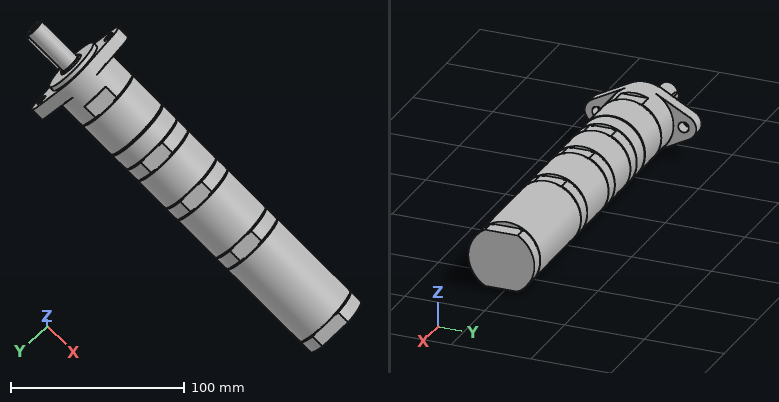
import cadquery as cq
import math

total_length = 249.8

shaft_diameter = 12.0
shaft_tip_chamfer = 0.75
center_hole_diameter = 3.24
center_hole_depth = 10.0
countersink_diameter = 5.3
countersink_angle = 60.0
drill_point_angle = 118.0

key_start = 2.6
key_length = 25.5
key_width = 4.0
key_top = 7.5

collar_start = 30.3
collar_tip_diameter = 14.95
collar_diameter = 16.0
pilot_start = 31.3
pilot_diameter = 36.0

flange_start = 34.3
flange_thickness = 8.2
flange_end = flange_start + flange_thickness
flange_length = 70.0
flange_end_radius = 8.0
mounting_hole_diameter = 6.5
mounting_hole_offset = flange_length / 2 - flange_end_radius

body_diameter = 41.5
body_radius = body_diameter / 2

ring_groove_start = 84.7
ring_groove_width = 1.1
ring_groove_diameter = 36.0

joint_flat_length = 10.0
joint_flat_height = 37.8
joint_flat_starts = [51.0, 97.0, 129.6, 170.7]
rear_flat_start = 240.8
rear_flat_height = 36.0

relief_width = 0.6
relief_diameter = 39.5


def cylinder(start, end, diameter):
    """Cylinder on the X axis between two positions."""
    return cq.Workplane("YZ", origin=(start, 0, 0)).circle(diameter / 2).extrude(end - start)


def revolve_profile(profile):
    """Full turn of a closed (position, radius) profile about the X axis."""
    return cq.Workplane("XY").polyline(profile).close().revolve(360, (0, 0, 0), (1, 0, 0))


def make_turned_body():
    """Shaft, collar, pilot and body as one revolved profile."""
    profile = [
        (0, 0),
        (0, shaft_diameter / 2 - shaft_tip_chamfer),
        (shaft_tip_chamfer, shaft_diameter / 2),
        (collar_start, shaft_diameter / 2),
        (collar_start, collar_tip_diameter / 2),
        (pilot_start, collar_diameter / 2),
        (pilot_start, pilot_diameter / 2),
        (flange_end, pilot_diameter / 2),
        (flange_end, body_radius),
        (total_length, body_radius),
        (total_length, 0),
    ]
    return revolve_profile(profile)


def make_flange():
    """Oval flange: the body circle joined to two end circles by tangent lines."""
    tangent_sine = (body_radius - flange_end_radius) / mounting_hole_offset
    tangent_cosine = math.sqrt(1 - tangent_sine**2)
    inner_y = body_radius * tangent_sine
    inner_z = body_radius * tangent_cosine
    outer_y = mounting_hole_offset + flange_end_radius * tangent_sine
    outer_z = flange_end_radius * tangent_cosine
    outline = (
        cq.Workplane("YZ", origin=(flange_start, 0, 0))
        .moveTo(-inner_y, inner_z)
        .threePointArc((0, body_radius), (inner_y, inner_z))
        .lineTo(outer_y, outer_z)
        .threePointArc((flange_length / 2, 0), (outer_y, -outer_z))
        .lineTo(inner_y, -inner_z)
        .threePointArc((0, -body_radius), (-inner_y, -inner_z))
        .lineTo(-outer_y, -outer_z)
        .threePointArc((-flange_length / 2, 0), (-outer_y, outer_z))
        .close()
    )
    return outline.extrude(flange_thickness)


def make_key():
    """Round-ended key standing out of the shaft toward +Y."""
    return (
        cq.Workplane("XZ", origin=(key_start + key_length / 2, 0, 0))
        .slot2D(key_length, key_width)
        .extrude(-key_top)
    )


def cut_mounting_holes(part):
    """Two through holes in the flange, one on each side of the axis."""
    for y in (-mounting_hole_offset, mounting_hole_offset):
        hole = cylinder(flange_start, flange_end, mounting_hole_diameter)
        part = part.cut(hole.translate((0, y, 0)))
    return part


def cut_center_hole(part):
    """Countersunk blind hole in the shaft tip, ending in a conical drill point."""
    hole_radius = center_hole_diameter / 2
    countersink_radius = countersink_diameter / 2
    countersink_depth = (countersink_radius - hole_radius) / math.tan(math.radians(countersink_angle / 2))
    point_depth = hole_radius / math.tan(math.radians(drill_point_angle / 2))
    profile = [
        (0, 0),
        (0, countersink_radius),
        (countersink_depth, hole_radius),
        (center_hole_depth, hole_radius),
        (center_hole_depth + point_depth, 0),
    ]
    return part.cut(revolve_profile(profile))


def cut_ring(part, start, width, diameter):
    """Groove around the body down to the given diameter."""
    end = start + width
    ring = cylinder(start, end, body_diameter).cut(cylinder(start, end, diameter))
    return part.cut(ring)


def cut_flats(part, start, end, height):
    """Pair of flats on +Z and -Z over one stretch of the body."""
    length = end - start
    cutter_height = body_diameter - height
    for side in (1, -1):
        cutter = cq.Workplane("XY").box(length, body_diameter, cutter_height)
        middle_z = side * (height + cutter_height) / 2
        part = part.cut(cutter.translate((start + length / 2, 0, middle_z)))
    return part


result = make_turned_body().union(make_flange()).union(make_key())
result = cut_mounting_holes(result)
result = cut_center_hole(result)
result = cut_ring(result, ring_groove_start, ring_groove_width, ring_groove_diameter)
for flat_start in joint_flat_starts:
    flat_end = flat_start + joint_flat_length
    result = cut_flats(result, flat_start, flat_end, joint_flat_height)
    result = cut_ring(result, flat_end - relief_width, relief_width, relief_diameter)
    if flat_start != joint_flat_starts[0]:
        result = cut_ring(result, flat_start, relief_width, relief_diameter)
result = cut_flats(result, rear_flat_start, total_length, rear_flat_height)
result = cut_ring(result, rear_flat_start, relief_width, relief_diameter)